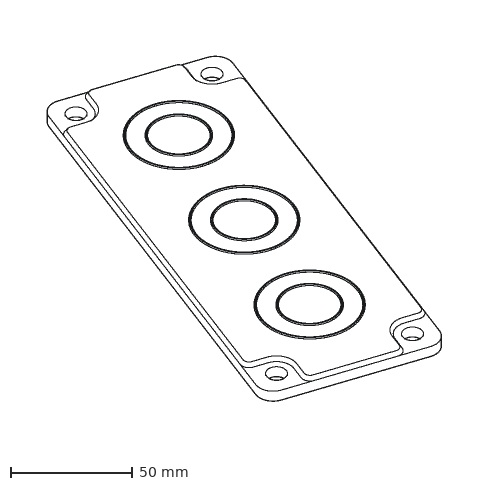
import cadquery as cq
import math

LENGTH = 215.0
WIDTH = 84.0
TOTAL_HEIGHT = 10.8
CORNER_RADIUS = 8.0

PLUG_LENGTH = 189.8
PLUG_WIDTH = 60.6
PLUG_HEIGHT = 3.0

PAD_HEIGHT = 2.0
PAD_DRAFT = 35.0
PAD_CORNER_RADIUS = 4.0
NOTCH_RADIUS = 8.0

HOLE_DIAMETER = 9.0
HOLE_INSET = 11.0

RIDGE_HEIGHT = 0.54
RIDGE_BASE_WIDTH = 1.0
RIDGE_CREST_WIDTH = 0.5
RIDGE_OUTER_DIAMETERS = (46.0, 28.0)
RING_PITCH = 63.0
RING_COUNT = 3

pad_top = TOTAL_HEIGHT - RIDGE_HEIGHT
pad_base = pad_top - PAD_HEIGHT
half_length = LENGTH / 2
half_width = WIDTH / 2
notch_size = HOLE_INSET + NOTCH_RADIUS


def make_plug():
    """Round-ended locating plug under the plate."""
    return cq.Workplane("XY").slot2D(PLUG_LENGTH, PLUG_WIDTH).extrude(PLUG_HEIGHT)


def make_plate():
    """Flat plate with rounded vertical corners."""
    plate = cq.Workplane("XY").workplane(offset=PLUG_HEIGHT).rect(LENGTH, WIDTH)
    return plate.extrude(pad_base - PLUG_HEIGHT).edges("|Z").fillet(CORNER_RADIUS)


def point_towards(origin, target, distance):
    """Point at the given distance from origin on the line to target."""
    share = distance / math.dist(origin, target)
    return tuple(o + share * (t - o) for o, t in zip(origin, target))


def round_corner(outline, start, corner, end, radius):
    """Draw a line to start, then a quarter arc towards corner that finishes at end."""
    center = (start[0] + end[0] - corner[0], start[1] + end[1] - corner[1])
    reach = radius * math.sqrt(0.5)
    middle = tuple(c + math.copysign(reach, k - c) for c, k in zip(center, corner))
    return outline.lineTo(*start).threePointArc(middle, end)


def make_pad():
    """Raised cross-shaped pad with sloping sides, notched around each screw hole."""
    inner_x = half_length - notch_size
    inner_y = half_width - notch_size
    quarter = [
        ((half_length, inner_y), PAD_CORNER_RADIUS),
        ((inner_x, inner_y), NOTCH_RADIUS),
        ((inner_x, half_width), PAD_CORNER_RADIUS),
    ]
    mirrored = [((-x, y), radius) for (x, y), radius in reversed(quarter)]
    upper = quarter + mirrored
    corners = upper + [((-x, -y), radius) for (x, y), radius in upper]

    outline = cq.Workplane("XY").workplane(offset=pad_base)
    outline = outline.moveTo(half_length, PAD_CORNER_RADIUS - inner_y)
    for index, (corner, radius) in enumerate(corners):
        before = corners[index - 1][0]
        after = corners[(index + 1) % len(corners)][0]
        start = point_towards(corner, before, radius)
        end = point_towards(corner, after, radius)
        outline = round_corner(outline, start, corner, end, radius)
    return outline.close().extrude(PAD_HEIGHT, taper=PAD_DRAFT)


def make_ridge(outer_diameter):
    """Circular ridge around the Z axis on top of the pad, with sloping sides."""
    middle = (outer_diameter - RIDGE_BASE_WIDTH) / 2
    half_base = RIDGE_BASE_WIDTH / 2
    half_crest = RIDGE_CREST_WIDTH / 2
    section = [
        (middle - half_base, pad_top),
        (middle + half_base, pad_top),
        (middle + half_crest, TOTAL_HEIGHT),
        (middle - half_crest, TOTAL_HEIGHT),
    ]
    return cq.Workplane("XZ").polyline(section).close().revolve(360, (0, 0, 0), (0, 1, 0))


def make_screw_holes():
    """Cylinders for the four through holes, one near each corner."""
    spacing_x = LENGTH - 2 * HOLE_INSET
    spacing_y = WIDTH - 2 * HOLE_INSET
    centers = cq.Workplane("XY").rarray(spacing_x, spacing_y, 2, 2)
    return centers.circle(HOLE_DIAMETER / 2).extrude(TOTAL_HEIGHT)


body = make_plug().union(make_plate()).union(make_pad())
for ring_index in range(RING_COUNT):
    ring_x = (ring_index - (RING_COUNT - 1) / 2) * RING_PITCH
    for ridge_diameter in RIDGE_OUTER_DIAMETERS:
        body = body.union(make_ridge(ridge_diameter).translate((ring_x, 0, 0)))

result = body.cut(make_screw_holes())